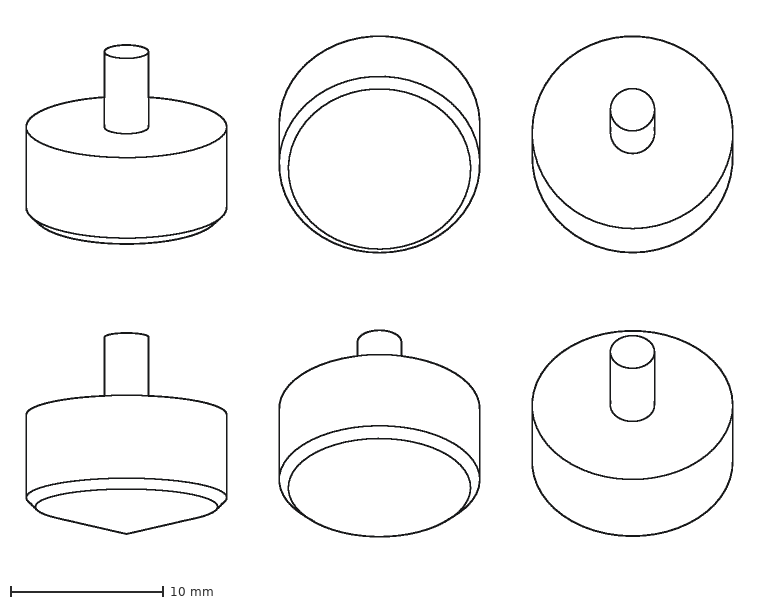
import cadquery as cq

total_height = 13.2
body_diameter = 13.2
pin_diameter = 2.9
pin_length = 5.2
chamfer_size = 0.61
cone_height = 1.83

body_radius = body_diameter / 2
pin_radius = pin_diameter / 2
cone_radius = body_radius - chamfer_size
chamfer_top = cone_height + chamfer_size
body_top = total_height - pin_length

half_section = (
    cq.Workplane("XZ")
    .moveTo(0, 0)
    .lineTo(cone_radius, cone_height)
    .lineTo(body_radius, chamfer_top)
    .lineTo(body_radius, body_top)
    .lineTo(pin_radius, body_top)
    .lineTo(pin_radius, total_height)
    .lineTo(0, total_height)
    .close()
)

result = half_section.revolve(360, (0, 0), (0, 1))